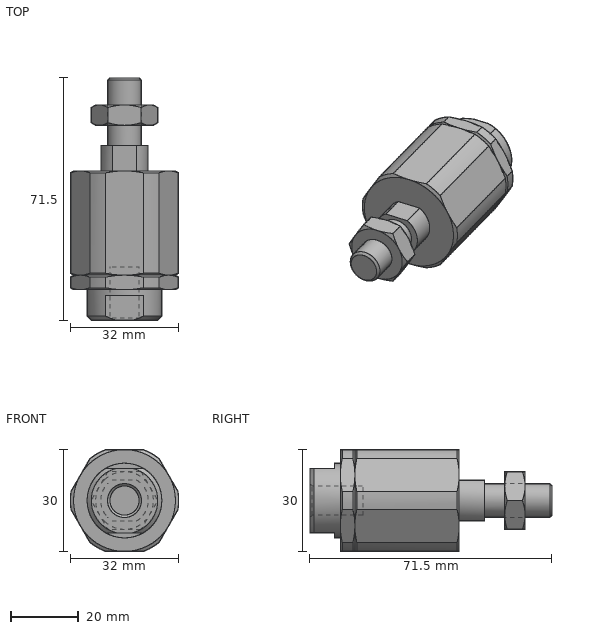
import cadquery as cq
import math


total_length = 71.5
socket_length = 9.0
lock_ring_length = 4.3
housing_length = 35.0
neck_length = 7.5
stud_nut_length = 6.0
tip_to_nut = 8.0

housing_across_flats = 30.0
housing_diameter = 32.0
socket_diameter = 22.0
socket_across_flats = 19.0
socket_collar = 1.7
socket_chamfer = 1.2
bore_diameter = 8.6
bore_mouth_diameter = 10.0
bore_depth = 15.7

neck_diameter = 14.0
neck_across_flats = 12.0
thread_diameter = 10.0
tip_chamfer = 0.7
nut_across_flats = 17.0

hex_chamfer_angle = 30.0

housing_end = socket_length + housing_length
lock_ring_end = socket_length + lock_ring_length
neck_end = housing_end + neck_length
nut_start = total_length - tip_to_nut - stud_nut_length


def cylinder(diameter, start, length):
    """Cylinder on the Y axis, from Y = start to Y = start + length."""
    return cq.Workplane("XZ", origin=(0, start, 0)).circle(diameter / 2).extrude(-length)


def slab(across_flats, start, length, width):
    """Plate centred on the Y axis whose large faces are the two wrench flats at +Z and -Z."""
    plate = cq.Workplane("XY").box(width, length, across_flats, centered=(True, False, True))
    return plate.translate((0, start, 0))


def corner_to_corner(across_flats):
    """Width across the corners of a regular hexagon."""
    return across_flats / math.cos(math.pi / 6)


def chamfered_hexagon(across_flats, corner_diameter, start, length):
    """Hexagonal prism with flats at +Z and -Z, its corners turned down and both ends chamfered."""
    outline = cq.Workplane("XZ", origin=(0, start, 0)).polygon(6, corner_to_corner(across_flats))
    prism = outline.extrude(-length)
    radial = (corner_diameter - across_flats) / 2
    axial = radial * math.tan(math.radians(hex_chamfer_angle))
    end = start + length
    turned_blank = (
        cq.Workplane("XY")
        .polyline([
            (0, start),
            (across_flats / 2, start),
            (corner_diameter / 2, start + axial),
            (corner_diameter / 2, end - axial),
            (across_flats / 2, end),
            (0, end),
        ])
        .close()
        .revolve(360, (0, 0), (0, 1))
    )
    return prism.intersect(turned_blank)


def make_socket():
    """Round end of the housing with a chamfered rim and two wrench flats."""
    socket = cylinder(socket_diameter, 0, socket_length).faces("<Y").chamfer(socket_chamfer)
    flats_length = socket_length - socket_collar
    flatted = slab(socket_across_flats, 0, flats_length, socket_diameter)
    collar = cylinder(socket_diameter, flats_length, socket_collar)
    return socket.intersect(flatted.union(collar))


def make_bore():
    """Blind bore with a 45 degree countersunk mouth, as the solid to be removed."""
    mouth_depth = (bore_mouth_diameter - bore_diameter) / 2
    return (
        cq.Workplane("XY")
        .polyline([
            (0, 0),
            (bore_mouth_diameter / 2, 0),
            (bore_diameter / 2, mouth_depth),
            (bore_diameter / 2, bore_depth),
            (0, bore_depth),
        ])
        .close()
        .revolve(360, (0, 0), (0, 1))
    )


def make_housing():
    """Casing, lock ring and socket in one piece, with a chamfer groove between casing and ring."""
    lock_ring = chamfered_hexagon(
        housing_across_flats, housing_diameter, socket_length, lock_ring_length
    )
    casing = chamfered_hexagon(
        housing_across_flats, housing_diameter, lock_ring_end, housing_end - lock_ring_end
    )
    return casing.union(lock_ring).union(make_socket()).cut(make_bore())


def make_stud():
    """Neck with two wrench flats that meets the housing end, and the thread with a chamfered tip."""
    neck = cylinder(neck_diameter, housing_end, neck_length)
    neck = neck.intersect(slab(neck_across_flats, housing_end, neck_length, neck_diameter))
    thread = cylinder(thread_diameter, neck_end, total_length - neck_end)
    thread = thread.faces(">Y").chamfer(tip_chamfer)
    return neck.union(thread)


def make_stud_nut():
    """Hexagon nut with full corners, fitted on the thread."""
    across_corners = corner_to_corner(nut_across_flats)
    blank = chamfered_hexagon(nut_across_flats, across_corners, nut_start, stud_nut_length)
    return blank.cut(cylinder(thread_diameter, nut_start, stud_nut_length))


housing = make_housing()
stud = make_stud()
stud_nut = make_stud_nut()

result = cq.Compound.makeCompound([housing.val(), stud.val(), stud_nut.val()])